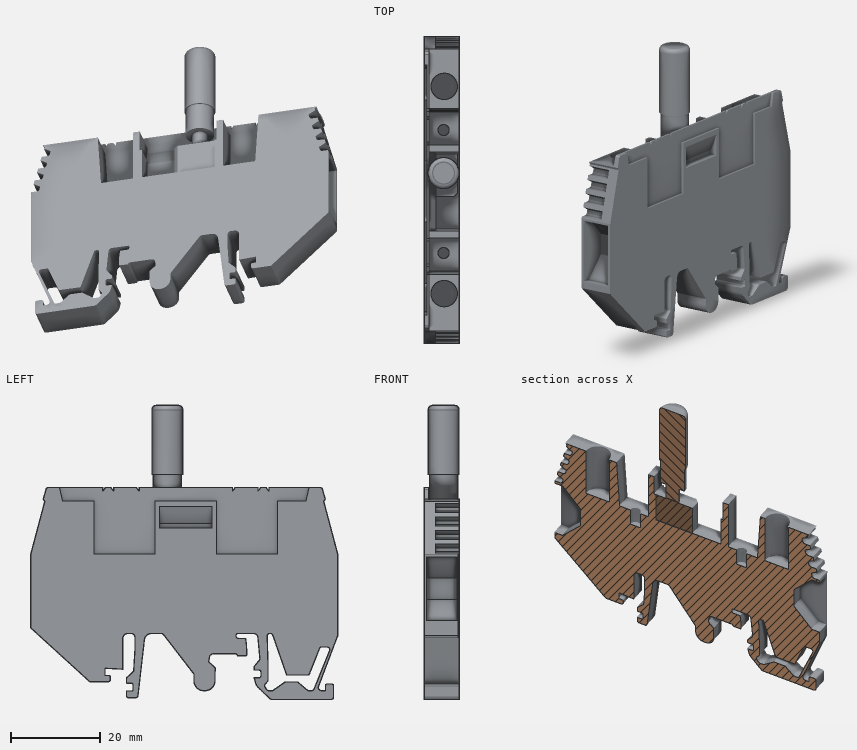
import cadquery as cq
import math

WIDTH = 7.9
LENGTH = 68.5
LEFT_X = -WIDTH / 2
RIGHT_X = WIDTH / 2
END_Y = LENGTH / 2
MID_Y = -0.35

DECK_Z = 44.7
DECK_END_Y = 31.45
SHOULDER_Z = 32.3
GROOVE_LIP_Y = 31.1
GROOVE_LIP_Z = 44.2

WALL_TOP_Z = 47.3
WALL_TOP_Y = 30.7
WALL_THICKNESS = 1.1
WALL_CORNER_RADIUS = 0.6
WALL_INNER_X = LEFT_X + WALL_THICKNESS
NOTCH_WIDTH = 0.6
NOTCH_DEPTH = 0.8

RECESS_DEPTH = 0.6
RECESS_TOP_Y = 27.8
RECESS_STEP_Y = 27.1
RECESS_STEP_Z = 44.3
RECESS_BOTTOM_Z = 32.5
RECESS_BAY = 13.6

WINDOW_Y_MIN = -6.15
WINDOW_Y_MAX = 5.5
WINDOW_BOTTOM_Z = 38.2
WINDOW_TOP_Z = 43.1
SLANT_RUN = 1.6
SLANT_DROP = 3.85

WELL_FLOOR_Z = RECESS_BOTTOM_Z
SIDE_WELL_TOP = 18.5
SIDE_WELL_FOOT = 17.75
RIB_OUTER = 10.35
RIB_INNER = 8.85
LEDGE_EDGE = 8.35
LEDGE_Z = 39.7
SLANT_FOOT_X = WALL_INNER_X + SLANT_RUN

WIRE_HOLE_X = 0.55
WIRE_HOLE_Y = 23.1
WIRE_HOLE_DIAMETER = 5.9
TEST_HOLE_X = 0.4
TEST_HOLE_OFFSET = 13.7
TEST_HOLE_DIAMETER = 2.5
TEST_HOLE_DEPTH = 4.1

GRIP_COUNT = 4
GRIP_PITCH = 3.0
GRIP_TOP_Z = 43.8
GRIP_HEIGHT = 2.05
GRIP_DEPTH = 1.8
GRIP_CEILING_DROP = 0.9
GRIP_CHAMFER = 0.35
GRIP_X = -1.45

FUNNEL_X_MIN = -3.35
FUNNEL_X_MAX = 3.4
FUNNEL_BOTTOM_Z = 17.6
FUNNEL_TOP_Z = 31.85
FUNNEL_LIP_DEPTH = 2.05
FUNNEL_DEPTH = 6.65
FUNNEL_TAPER = 4.7

STEP_WIDTH = 0.3
STEP_DEPTH = 0.2
STEP_BOTTOM_Z = 13.85

PLUG_X = 0.4
PLUG_Y = 3.8
PLUG_TOP_Z = 65.6
HANDLE_DIAMETER = 6.9
HANDLE_BOTTOM_Z = 50.15
HANDLE_RADIUS = 1.0
SHANK_DIAMETER = 6.4
SHANK_BOTTOM_Z = 43.7
STEM_DIAMETER = 3.4

SOCKET_X_MAX = 3.55
SOCKET_Y_MIN = -1.45
SOCKET_CHAMFER = 0.8


def rounded_wire(points):
    """Closed YZ outline. Points are (y, z) or (y, z, r), where r rounds that corner."""
    corners = []
    for i, point in enumerate(points):
        corner = cq.Vector(point[0], point[1], 0)
        radius = point[2] if len(point) == 3 else 0
        if radius == 0:
            corners.append((corner, corner, corner))
            continue
        before = points[i - 1]
        after = points[(i + 1) % len(points)]
        to_before = (cq.Vector(before[0], before[1], 0) - corner).normalized()
        to_after = (cq.Vector(after[0], after[1], 0) - corner).normalized()
        half_angle = to_before.getAngle(to_after) / 2
        tangent = radius / math.tan(half_angle)
        bisector = (to_before + to_after).normalized()
        reach = radius / math.sin(half_angle) - radius
        corners.append((corner + to_before * tangent, corner + bisector * reach, corner + to_after * tangent))

    outline = cq.Workplane("YZ").moveTo(corners[0][2].x, corners[0][2].y)
    for start, middle, end in corners[1:] + corners[:1]:
        outline = outline.lineTo(start.x, start.y)
        if start != end:
            outline = outline.threePointArc((middle.x, middle.y), (end.x, end.y))
    return outline.close()


def prism(points, x_min, x_max):
    """YZ outline extruded along X from x_min to x_max."""
    return rounded_wire(points).extrude(x_max - x_min).translate((x_min, 0, 0))


def box(x_min, x_max, y_min, y_max, z_min, z_max):
    size = (x_max - x_min, y_max - y_min, z_max - z_min)
    return cq.Workplane().box(*size, centered=False).translate((x_min, y_min, z_min))


def about_mid(points, side):
    """Places (offset, z) points on the +Y (side = 1) or -Y (side = -1) half of the wells."""
    return [(MID_Y + side * offset, z) for offset, z in points]


PLUS_Y_END = [
    (DECK_END_Y, DECK_Z),
    (GROOVE_LIP_Y, GROOVE_LIP_Z),
    (END_Y, SHOULDER_Z),
    (END_Y, 16.0),
]
FIXED_FOOT = [
    (21.0, 4.0),
    (16.45, 4.0, 0.55),
    (16.45, 5.4, 0.35),
    (17.6, 5.4),
    (17.6, 7.0),
    (13.7, 6.8),
    (13.7, 14.7, 1.1),
    (11.0, 14.7, 0.75),
    (11.0, 10.9),
    (11.3, 6.4),
    (12.9, 4.85, 0.3),
    (12.9, 3.6, 0.3),
    (11.45, 3.6, 0.3),
    (11.45, 2.0, 0.2),
    (12.9, 2.0),
    (12.9, 0.4, 0.5),
    (10.35, 0.4, 0.6),
]
CENTRE_FOOT = [
    (8.7, 14.7, 1.5),
    (4.8, 14.7, 0.7),
    (-2.1, 5.75),
    (-2.1, 2.0, 2.25),
    (-6.85, 2.0, 2.25),
    (-6.9, 7.1),
    (-5.5, 8.4, 0.3),
    (-5.75, 10.2, 0.8),
    (-11.6, 10.2),
    (-11.9, 9.8),
    (-14.0, 9.8, 0.3),
    (-13.9, 12.05),
    (-13.7, 13.7, 0.3),
    (-11.6, 13.7, 0.4),
    (-11.6, 14.7, 0.3),
]
SPRING_FOOT = [
    (-16.3, 14.7, 0.9),
    (-16.85, 9.0, 0.4),
    (-15.55, 7.4, 0.2),
    (-15.55, 6.6),
    (-17.05, 6.6, 0.35),
    (-17.05, 4.9, 0.35),
    (-15.55, 4.9),
    (-16.0, 3.15, 2.05),
    (-19.3, 0, 1.0),
    (-33.3, 0, 0.6),
    (-33.3, 3.55, 0.5),
    (-31.45, 3.55, 0.5),
    (-31.45, 2.05),
    (-29.6, 2.05, 0.7),
    (-END_Y + STEP_DEPTH, STEP_BOTTOM_Z),
]
MINUS_Y_END = [
    (-END_Y, STEP_BOTTOM_Z + 0.5),
    (-END_Y, SHOULDER_Z),
    (-GROOVE_LIP_Y, GROOVE_LIP_Z),
    (-DECK_END_Y, DECK_Z),
]
SPRING_OPENING = [
    (-18.5, 14.7, 0.5),
    (-19.6, 14.7, 0.4),
    (-22.8, 5.5),
    (-27.8, 5.5, 0.5),
    (-30.3, 11.7, 0.4),
    (-32.7, 11.7, 0.55),
    (-28.8, 2.05, 0.4),
    (-27.55, 2.05, 0.4),
    (-25.3, 4.0, 0.3),
    (-22.5, 4.0, 0.4),
    (-19.7, 2.05, 0.3),
    (-18.5, 2.05, 0.55),
    (-17.8, 3.15, 0.4),
    (-18.7, 4.25),
    (-18.7, 7.55),
]


def make_shell():
    outline = PLUS_Y_END + FIXED_FOOT + CENTRE_FOOT + SPRING_FOOT + MINUS_Y_END
    shell = prism(outline, LEFT_X, RIGHT_X)
    return shell.cut(prism(SPRING_OPENING, LEFT_X, RIGHT_X))


def make_wall():
    outline = [
        (-DECK_END_Y, DECK_Z),
        (-WALL_TOP_Y, WALL_TOP_Z, WALL_CORNER_RADIUS),
        (WALL_TOP_Y, WALL_TOP_Z, WALL_CORNER_RADIUS),
        (DECK_END_Y, DECK_Z),
    ]
    return prism(outline, LEFT_X, WALL_INNER_X)


def make_notches():
    """Triangular notches in the wall top: each has one upright flank at the given offset."""
    notches = cq.Workplane()
    for side in (1, -1):
        for offset, slope_side in ((18.5, -1), (16.1, 1), (10.4, 1)):
            triangle = about_mid(
                [
                    (offset, WALL_TOP_Z),
                    (offset, WALL_TOP_Z - NOTCH_DEPTH),
                    (offset + slope_side * NOTCH_WIDTH, WALL_TOP_Z),
                ],
                side,
            )
            notches = notches.add(prism(triangle, LEFT_X, WALL_INNER_X))
    return notches


def make_label_recess():
    inner_edge = MID_Y + RECESS_BAY / 2
    outer_edge = inner_edge + RECESS_BAY
    inner_edge_minus = inner_edge - RECESS_BAY
    outer_edge_minus = inner_edge_minus - RECESS_BAY
    outline = [
        (RECESS_TOP_Y, WALL_TOP_Z),
        (RECESS_STEP_Y, RECESS_STEP_Z),
        (outer_edge, RECESS_STEP_Z),
        (outer_edge, RECESS_BOTTOM_Z),
        (inner_edge, RECESS_BOTTOM_Z),
        (inner_edge, RECESS_STEP_Z),
        (inner_edge_minus, RECESS_STEP_Z),
        (inner_edge_minus, RECESS_BOTTOM_Z),
        (outer_edge_minus, RECESS_BOTTOM_Z),
        (outer_edge_minus, RECESS_STEP_Z),
        (-RECESS_STEP_Y, RECESS_STEP_Z),
        (-RECESS_TOP_Y, WALL_TOP_Z),
    ]
    return prism(outline, LEFT_X, LEFT_X + RECESS_DEPTH)


def make_window():
    profile = [
        (LEFT_X, WINDOW_BOTTOM_Z),
        (LEFT_X, WINDOW_TOP_Z),
        (LEFT_X + SLANT_RUN, WINDOW_TOP_Z - SLANT_DROP),
        (LEFT_X + SLANT_RUN, WINDOW_BOTTOM_Z),
    ]
    window = cq.Workplane("XZ").polyline(profile).close().extrude(WINDOW_Y_MIN - WINDOW_Y_MAX)
    return window.translate((0, WINDOW_Y_MIN, 0))


def make_side_well(side):
    outline = about_mid(
        [
            (RIB_OUTER, DECK_Z),
            (SIDE_WELL_TOP, DECK_Z),
            (SIDE_WELL_FOOT, WELL_FLOOR_Z),
            (RIB_OUTER, WELL_FLOOR_Z),
        ],
        side,
    )
    return prism(outline, WALL_INNER_X, RIGHT_X)


def make_middle_well():
    """Well between the ribs: a ledge at each rib and a slanted face behind the window."""
    upper = box(WALL_INNER_X, RIGHT_X, MID_Y - RIB_INNER, MID_Y + RIB_INNER, LEDGE_Z, DECK_Z)
    lower = box(WALL_INNER_X, RIGHT_X, MID_Y - LEDGE_EDGE, MID_Y + LEDGE_EDGE, WELL_FLOOR_Z, LEDGE_Z)
    slant = [
        (WALL_INNER_X, WELL_FLOOR_Z),
        (WALL_INNER_X, WINDOW_TOP_Z),
        (SLANT_FOOT_X, WINDOW_TOP_Z - SLANT_DROP),
        (SLANT_FOOT_X, WELL_FLOOR_Z),
    ]
    backing = cq.Workplane("XZ").polyline(slant).close().extrude(RIB_INNER, both=True)
    return upper.union(lower).cut(backing.translate((0, MID_Y, 0)))


def make_blind_hole(x, y, diameter, top_z, depth):
    return cq.Workplane().circle(diameter / 2).extrude(-depth).translate((x, y, top_z))


def end_slope_y(z):
    """Distance of the sloping end face from Y = 0 at height z."""
    share = (GROOVE_LIP_Z - z) / (GROOVE_LIP_Z - SHOULDER_Z)
    return GROOVE_LIP_Y + share * (END_Y - GROOVE_LIP_Y)


def make_grip_groove(top_z, side):
    """Undercut groove with a sloping ceiling, a back parallel to the end face and a flat floor."""
    back_top_z = top_z - GRIP_CEILING_DROP
    bottom_z = top_z - GRIP_HEIGHT
    back_bottom_z = bottom_z + GRIP_CHAMFER
    outline = [
        (end_slope_y(top_z), top_z),
        (end_slope_y(back_top_z) - GRIP_DEPTH, back_top_z),
        (end_slope_y(back_bottom_z) - GRIP_DEPTH, back_bottom_z),
        (end_slope_y(back_bottom_z) - GRIP_DEPTH + GRIP_CHAMFER, bottom_z),
        (end_slope_y(bottom_z), bottom_z),
    ]
    return prism([(side * y, z) for y, z in outline], GRIP_X, RIGHT_X)


def make_funnel(side):
    lip_y = END_Y - FUNNEL_LIP_DEPTH
    back_y = END_Y - FUNNEL_DEPTH
    outline = [
        (END_Y, FUNNEL_BOTTOM_Z),
        (lip_y, FUNNEL_BOTTOM_Z),
        (back_y, FUNNEL_BOTTOM_Z + FUNNEL_TAPER),
        (back_y, FUNNEL_TOP_Z - FUNNEL_TAPER),
        (lip_y, FUNNEL_TOP_Z),
        (END_Y, FUNNEL_TOP_Z),
    ]
    return prism([(side * y, z) for y, z in outline], FUNNEL_X_MIN, FUNNEL_X_MAX)


def make_edge_step():
    return box(RIGHT_X - STEP_WIDTH, RIGHT_X, -END_Y, -END_Y + STEP_DEPTH, STEP_BOTTOM_Z, SHOULDER_Z)


def make_housing():
    housing = make_shell().union(make_wall())
    for notch in make_notches().vals():
        housing = housing.cut(cq.Workplane(notch))
    housing = housing.cut(make_label_recess()).cut(make_window()).cut(make_middle_well())
    for side in (1, -1):
        housing = housing.cut(make_side_well(side)).cut(make_funnel(side))
        wire_hole_depth = DECK_Z - WELL_FLOOR_Z
        housing = housing.cut(
            make_blind_hole(WIRE_HOLE_X, side * WIRE_HOLE_Y, WIRE_HOLE_DIAMETER, DECK_Z, wire_hole_depth)
        )
        test_hole_y = MID_Y + side * TEST_HOLE_OFFSET
        housing = housing.cut(
            make_blind_hole(TEST_HOLE_X, test_hole_y, TEST_HOLE_DIAMETER, WELL_FLOOR_Z, TEST_HOLE_DEPTH)
        )
        for i in range(GRIP_COUNT):
            housing = housing.cut(make_grip_groove(GRIP_TOP_Z - i * GRIP_PITCH, side))
    return housing.cut(make_edge_step())


def make_plug():
    """Round handle on a thinner shank, with a stem that stands on the socket block."""
    handle = cq.Workplane().circle(HANDLE_DIAMETER / 2).extrude(PLUG_TOP_Z - HANDLE_BOTTOM_Z)
    handle = handle.faces(">Z").edges().fillet(HANDLE_RADIUS).translate((0, 0, HANDLE_BOTTOM_Z))
    shank = make_blind_hole(0, 0, SHANK_DIAMETER, HANDLE_BOTTOM_Z, HANDLE_BOTTOM_Z - SHANK_BOTTOM_Z)
    stem = make_blind_hole(0, 0, STEM_DIAMETER, SHANK_BOTTOM_Z, SHANK_BOTTOM_Z - LEDGE_Z)
    return handle.union(shank).union(stem).translate((PLUG_X, PLUG_Y, 0))


def make_socket():
    """Block on the floor of the middle well, level with the ledges, with one chamfered corner."""
    y_max = MID_Y + LEDGE_EDGE
    block = box(SLANT_FOOT_X, SOCKET_X_MAX, SOCKET_Y_MIN, y_max, WELL_FLOOR_Z, LEDGE_Z)
    return block.edges("|Z and >X and <Y").chamfer(SOCKET_CHAMFER)


housing = make_housing()
plug = make_plug()
socket = make_socket()

result = cq.Compound.makeCompound([housing.val(), plug.val(), socket.val()])